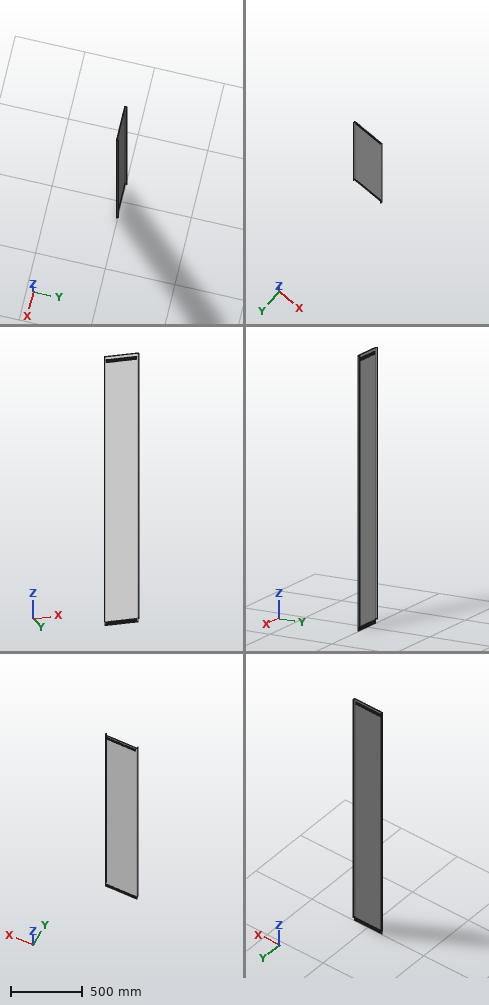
import cadquery as cq

LENGTH = 2000.0
WIDTH = 250.0
DEPTH = 15.0
SHEET = 1.5
BEND_RADIUS = 3.0

CORNER_CUT_HEIGHT = 30.0
CORNER_CUT_WIDTH = BEND_RADIUS

HOLE_DIAMETER = 5.0
HOLE_PITCH = 12.0
ROW_PITCH = 7.0
ROWS = 3
HOLES_IN_LONG_ROW = 19
LOWER_BAND_Z = 15.0
UPPER_BAND_Z = LENGTH - 35.0


def rounded_block(width, front, bend_radius):
    """Full-length block from y = front to the flange tips, with its two front edges rounded."""
    return (
        cq.Workplane("XY", origin=(0, front, 0))
        .box(width, DEPTH - front, LENGTH, centered=(True, False, False))
        .edges("|Z and <Y")
        .fillet(bend_radius)
    )


def bent_sheet():
    """Flat web with a flange along each long side, all of one sheet thickness."""
    outside = rounded_block(WIDTH, 0, BEND_RADIUS)
    inside = rounded_block(WIDTH - 2 * SHEET, SHEET, BEND_RADIUS - SHEET)
    return outside.cut(inside)


def corner_cuts():
    """Blocks that remove the flanges and bends from the lower corners."""
    return (
        cq.Workplane("XY")
        .rarray(WIDTH - CORNER_CUT_WIDTH, 20, 2, 1)
        .rect(CORNER_CUT_WIDTH, 2 * DEPTH)
        .extrude(CORNER_CUT_HEIGHT)
    )


def hole_band(center_z):
    """Staggered hole cutters; every second row sits half a pitch over and has one hole less."""
    centers = []
    for row in range(ROWS):
        holes = HOLES_IN_LONG_ROW - row % 2
        z = (row - (ROWS - 1) / 2) * ROW_PITCH
        for hole in range(holes):
            x = (hole - (holes - 1) / 2) * HOLE_PITCH
            centers.append((x, z))
    return (
        cq.Workplane("XZ", origin=(0, 0, center_z))
        .pushPoints(centers)
        .circle(HOLE_DIAMETER / 2)
        .extrude(SHEET, both=True)
    )


result = bent_sheet().cut(corner_cuts())
for band_z in (LOWER_BAND_Z, UPPER_BAND_Z):
    result = result.cut(hole_band(band_z))